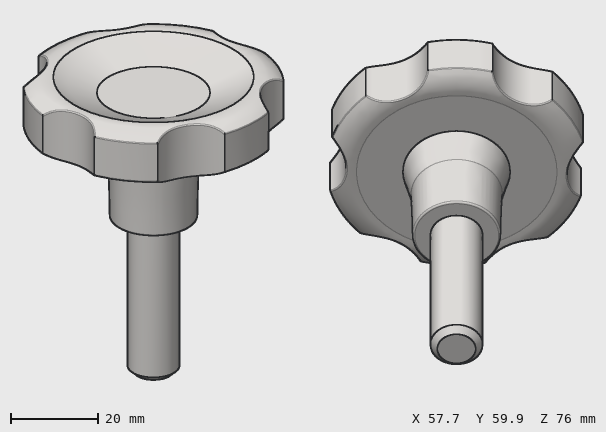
import cadquery as cq
import math

total_height = 76.0
head_height = 13.7
hub_flare_height = 7.75
hub_barrel_height = 14.6

head_radius = 29.95
crown_height = 1.9
crest_radius = 24.3
lobe_count = 6
scallop_radius = 11.1
scallop_floor_radius = 25.4
rim_fillet = 0.3

dish_rim_radius = 23.0
dish_floor_radius = 13.0
dish_depth = 4.1
dish_sag = 0.3

hub_top_radius = 12.3
hub_waist_radius = 10.5
hub_bottom_radius = 10.1
hub_barrel_bow = 0.1
hub_fillet = 0.45

stud_radius = 6.0
stud_tip_radius = 4.4
stud_tip_height = 1.5

head_bottom_z = total_height - head_height
hub_waist_z = head_bottom_z - hub_flare_height
hub_bottom_z = hub_waist_z - hub_barrel_height

crown_width = head_radius - crest_radius
crown_radius = (crown_width**2 + crown_height**2) / (2 * crown_height)
inner_dip = crown_radius - math.sqrt(crown_radius**2 - (crest_radius - dish_rim_radius) ** 2)
dish_rim_z = total_height - inner_dip


def bowed_midpoint(start, end, bow):
    """Midpoint of a chord, pushed sideways to the left of its direction by bow."""
    dx = end[0] - start[0]
    dz = end[1] - start[1]
    length = math.hypot(dx, dz)
    mid_x = (start[0] + end[0]) / 2 - bow * dz / length
    mid_z = (start[1] + end[1]) / 2 + bow * dx / length
    return (mid_x, mid_z)


def revolve_about_z(profile):
    return profile.close().revolve(360, (0, 0, 0), (0, 1, 0))


def make_head():
    """Disc with rounded shoulders, cut by a ring of scallops."""
    rim_top = (head_radius, total_height - crown_height)
    rim_bottom = (head_radius, head_bottom_z + crown_height)
    profile = (
        cq.Workplane("XZ")
        .moveTo(0, head_bottom_z + inner_dip)
        .lineTo(dish_rim_radius, head_bottom_z + inner_dip)
        .radiusArc(rim_bottom, -crown_radius)
        .lineTo(*rim_top)
        .radiusArc((dish_rim_radius, dish_rim_z), -crown_radius)
        .lineTo(0, dish_rim_z)
    )
    disc = revolve_about_z(profile)
    scallops = (
        cq.Workplane("XY")
        .workplane(offset=head_bottom_z)
        .polarArray(scallop_floor_radius + scallop_radius, 0, 360, lobe_count)
        .circle(scallop_radius)
        .extrude(head_height)
    )
    head = disc.cut(scallops)
    outline = head.faces("%CYLINDER").edges("not |Z")
    return head.newObject(outline.vals()).fillet(rim_fillet)


def make_dish():
    """Concave bowl with a flat floor."""
    floor_edge = (dish_floor_radius, total_height - dish_depth)
    rim = (dish_rim_radius, dish_rim_z)
    return revolve_about_z(
        cq.Workplane("XZ")
        .moveTo(0, floor_edge[1])
        .lineTo(*floor_edge)
        .threePointArc(bowed_midpoint(floor_edge, rim, -dish_sag), rim)
        .lineTo(0, dish_rim_z)
    )


def make_hub():
    """Slightly tapered barrel that flares out to meet the head."""
    bottom = (hub_bottom_radius, hub_bottom_z)
    waist = (hub_waist_radius, hub_waist_z)
    top = (hub_top_radius, head_bottom_z)
    hub = revolve_about_z(
        cq.Workplane("XZ")
        .moveTo(0, hub_bottom_z)
        .lineTo(*bottom)
        .threePointArc(bowed_midpoint(bottom, waist, hub_barrel_bow), waist)
        .lineTo(*top)
        .lineTo(hub_top_radius, head_bottom_z + inner_dip)
        .lineTo(0, head_bottom_z + inner_dip)
    )
    return hub.faces("<Z").edges().fillet(hub_fillet)


def make_stud():
    """Plain pin with a chamfered tip."""
    return revolve_about_z(
        cq.Workplane("XZ")
        .lineTo(stud_tip_radius, 0)
        .lineTo(stud_radius, stud_tip_height)
        .lineTo(stud_radius, hub_bottom_z)
        .lineTo(0, hub_bottom_z)
    )


result = make_head().cut(make_dish()).union(make_hub()).union(make_stud())